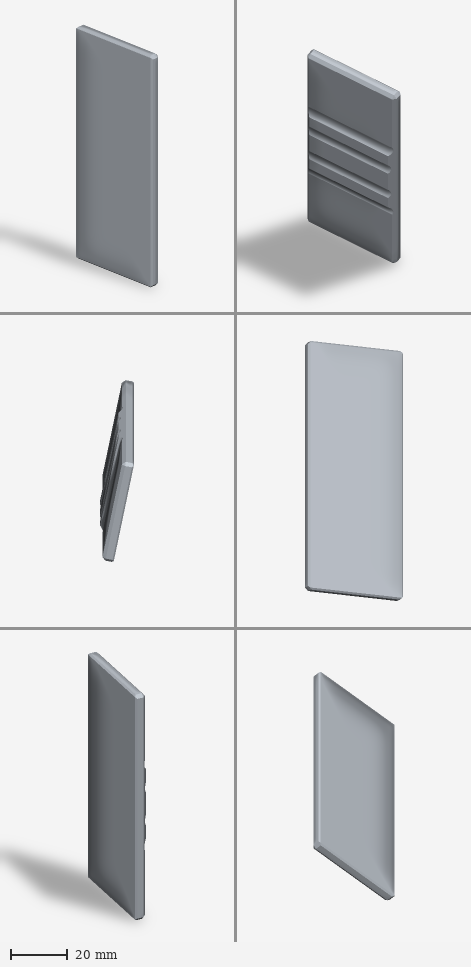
import cadquery as cq

width = 37.48
height = 89.65
plate_thickness = 4.17
total_thickness = 5.21

edge_chamfer = 1.17
front_chamfer = 0.6

groove_radius = 3.3
inner_groove_depth = 0.83
outer_groove_depth = 1.35
inner_groove_offset = 6.5
outer_groove_offset = 16.4


def make_box(thickness):
    """Plain block with its front face on Y = 0, centred in X and Z."""
    return cq.Workplane("XY").box(width, thickness, height, centered=(True, False, True))


def make_plate():
    """Plate with equal corner and back chamfers, and a smaller front chamfer."""
    back_shape = make_box(plate_thickness).edges("|Y or >Y").chamfer(edge_chamfer)
    front_shape = make_box(plate_thickness).faces("<Y").edges().chamfer(front_chamfer)
    return back_shape.intersect(front_shape)


def make_grip_pad():
    """Raised pad whose sloped sides continue the 45 degree back chamfers of the plate."""
    base_y = plate_thickness - edge_chamfer
    half_base = width / 2
    half_top = half_base - (total_thickness - base_y)
    pad_outline = [
        (-half_base, base_y),
        (half_base, base_y),
        (half_top, total_thickness),
        (-half_top, total_thickness),
    ]
    return (
        cq.Workplane("XY")
        .polyline(pad_outline)
        .close()
        .extrude(outer_groove_offset, both=True)
    )


def make_groove(offset, depth):
    """Cylindrical cutter along X, its lowest line at the given depth below the pad top."""
    axis_y = total_thickness - depth + groove_radius
    return (
        cq.Workplane("YZ")
        .center(axis_y, offset)
        .circle(groove_radius)
        .extrude(width, both=True)
    )


result = make_plate().union(make_grip_pad())
for side in (-1, 1):
    result = result.cut(make_groove(side * inner_groove_offset, inner_groove_depth))
    result = result.cut(make_groove(side * outer_groove_offset, outer_groove_depth))